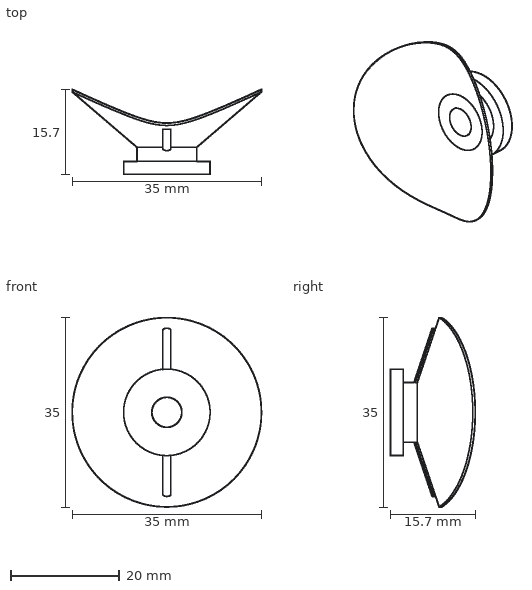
import cadquery as cq
import math


flange_radius = 8.0
flange_thickness = 2.4
neck_radius = 5.55
neck_top = 5.0
bore_radius = 2.75

rim_radius = 17.5
rim_crest = 15.71
rim_dip = 9.49
lip_thickness = 0.48
saddle_roundness = 2.5
rim_points_per_quarter = 9

rib_width = 1.5
rib_side_height = 0.3
rib_crown = 0.3
rib_embed = 0.2
rib_start = 5.0
rib_tip = 15.55
rib_end_bulge = 0.3
rib_end_fillet = 0.2

rim_rise = rim_crest - rim_dip
saddle_slope = math.sqrt(rim_rise * (rim_rise + 2 * saddle_roundness)) / rim_radius
outer_rim_dip = rim_dip - lip_thickness
rib_angle = math.degrees(math.atan2(outer_rim_dip - neck_top, rim_radius - neck_radius))


def y_cylinder(radius, start, end):
    """Cylinder about the Y axis between two heights."""
    return cq.Workplane("XZ", origin=(0, start, 0)).circle(radius).extrude(start - end)


def rim_height(x):
    """Upper edge of the rim: a hyperbola rising from the dip to the crests."""
    return rim_dip + math.hypot(saddle_roundness, saddle_slope * x) - saddle_roundness


def circle_point(radius, angle, height):
    return cq.Vector(radius * math.cos(angle), height, radius * math.sin(angle))


def base_arc(start_angle, height):
    """Quarter circle at the root of the lip."""
    angles = [start_angle + step * math.pi / 4 for step in range(3)]
    return cq.Edge.makeThreePointArc(*[circle_point(neck_radius, a, height) for a in angles])


def rim_curve(start_angle, drop):
    """Quarter of the rim, lowered by drop; it runs level at both ends."""
    intervals = rim_points_per_quarter - 1
    angles = [start_angle + i * math.pi / 2 / intervals for i in range(rim_points_per_quarter)]
    points = [
        circle_point(rim_radius, a, rim_height(rim_radius * math.cos(a)) - drop)
        for a in angles
    ]
    end_tangents = [circle_point(rim_radius, a + math.pi / 2, 0) for a in (angles[0], angles[-1])]
    return cq.Edge.makeSpline(points, tangents=end_tangents, parameters=angles, scale=False)


def make_lip():
    """Thin flared wall of straight rulings from the neck circle to the rim."""
    faces = []
    outer_arcs = []
    inner_arcs = []
    for quarter in range(4):
        start_angle = quarter * math.pi / 2
        outer_arc = base_arc(start_angle, neck_top)
        inner_arc = base_arc(start_angle, neck_top + lip_thickness)
        outer_rim = rim_curve(start_angle, lip_thickness)
        inner_rim = rim_curve(start_angle, 0)
        faces.append(cq.Face.makeRuledSurface(outer_arc, outer_rim))
        faces.append(cq.Face.makeRuledSurface(inner_arc, inner_rim))
        faces.append(cq.Face.makeRuledSurface(outer_rim, inner_rim))
        outer_arcs.append(outer_arc)
        inner_arcs.append(inner_arc)
    for arcs in (outer_arcs, inner_arcs):
        faces.append(cq.Face.makeFromWires(cq.Wire.assembleEdges(arcs)))
    lip = cq.Solid.makeSolid(cq.Shell.makeShell(faces)).fix()
    return cq.Workplane(obj=lip)


def make_rib():
    """Arched rib lying along the lip on the +Z side, with a rounded outer end."""
    half_width = rib_width / 2
    section_plane = cq.Plane(origin=(0, neck_top, neck_radius), xDir=(1, 0, 0), normal=(0, 0, 1))
    section_plane = section_plane.rotated((-rib_angle, 0, 0))
    bar = (
        cq.Workplane(section_plane)
        .moveTo(-half_width, rib_embed)
        .lineTo(-half_width, -rib_side_height)
        .threePointArc((0, -rib_side_height - rib_crown), (half_width, -rib_side_height))
        .lineTo(half_width, rib_embed)
        .close()
        .extrude(rim_radius, both=True)
    )
    plan_plane = cq.Plane(origin=(0, rim_crest, 0), xDir=(1, 0, 0), normal=(0, -1, 0))
    side_end = rib_tip - rib_end_bulge
    plan = (
        cq.Workplane(plan_plane)
        .moveTo(-half_width, rib_start)
        .lineTo(-half_width, side_end)
        .threePointArc((0, rib_tip), (half_width, side_end))
        .lineTo(half_width, rib_start)
        .close()
        .extrude(rim_crest)
    )
    rib = bar.intersect(plan)
    tip_edge = cq.selectors.NearestToPointSelector(rib_tip_crest())
    return rib.edges(tip_edge).fillet(rib_end_fillet)


def rib_tip_crest():
    """Point where the arched top meets the rounded end, at mid width."""
    slope = math.radians(rib_angle)
    rise = (rib_tip - neck_radius) * math.tan(slope)
    lift = (rib_side_height + rib_crown) / math.cos(slope)
    return (0, neck_top + rise - lift, rib_tip)


flange = y_cylinder(flange_radius, 0, flange_thickness)
neck = y_cylinder(neck_radius, flange_thickness, neck_top)
bore = y_cylinder(bore_radius, 0, neck_top + lip_thickness)
rib = make_rib()

body = flange.union(neck).union(make_lip())
body = body.union(rib).union(rib.mirror("XY"))
result = body.cut(bore).solids()